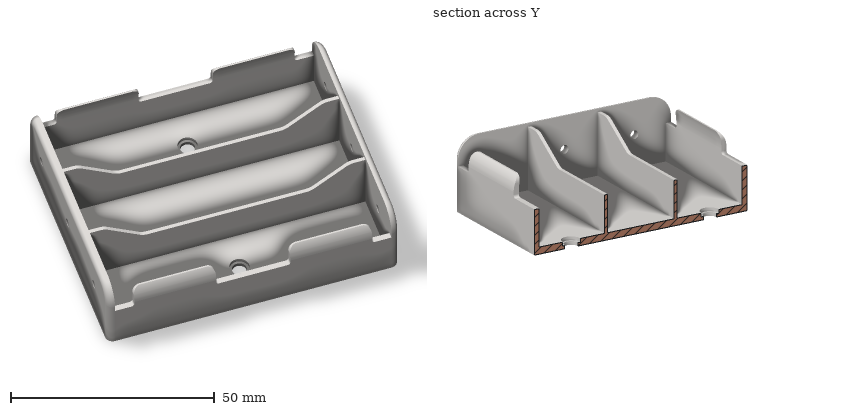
import cadquery as cq
import math

LENGTH = 75.6
WIDTH = 61.3
HEIGHT = 19.5
CORNER_RADIUS = 6.0
EDGE_RADIUS = 2.0

END_WALL = 2.0
SIDE_WALL = 1.5
FLOOR = 2.0
CAVITY_LENGTH = LENGTH - 2 * END_WALL
HALF_CAVITY_WIDTH = WIDTH / 2 - SIDE_WALL

RIM_HEIGHT = 12.0
TAB_HEIGHT = 17.7
TAB_INNER_END = 9.6
TAB_OUTER_END = 30.85
TAB_CORNER_RADIUS = 2.05
TAB_ROOT_RADIUS = 0.75
TAB_BEND_HEIGHT = HEIGHT - CORNER_RADIUS
TAB_INNER_LEAN = 0.6

DIVIDER_PITCH = 20.1
DIVIDER_THICKNESS = 1.0
DIVIDER_HIGH = 18.6
DIVIDER_LOW = RIM_HEIGHT
SLOPE_TOP = 31.8
SLOPE_BOTTOM = 21.7
SLOPE_BLEND_RADIUS = 3.8

TERMINAL_HOLE_DIAMETER = 2.3
TERMINAL_HOLE_HEIGHT = 10.65
SCREW_HOLE_DIAMETER = 3.7
SCREW_RECESS_DIAMETER = 5.0
SCREW_RECESS_DEPTH = FLOOR / 2
SCREW_HOLE_OFFSET = 19.95

TOLERANCE = 0.01


def extrude_along_y(profile, length):
    """Extrude an XZ profile to a length centred on Y = 0."""
    return profile.extrude(length / 2, both=True)


def make_outer_block():
    """Full block with rounded upper corners and rounded end faces."""
    block = cq.Workplane("XY").box(WIDTH, LENGTH, HEIGHT, centered=(True, True, False))
    block = block.edges("|Y and >Z").fillet(CORNER_RADIUS)
    rounded_edges = block.faces("<Y or >Y").edges().filter(lambda edge: edge.Center().z > TOLERANCE)
    return rounded_edges.fillet(EDGE_RADIUS)


def make_cavity():
    """Space between the walls, closing in between the leaning tabs."""
    rise = TAB_HEIGHT - TAB_BEND_HEIGHT
    radius = (rise**2 + TAB_INNER_LEAN**2) / (2 * TAB_INNER_LEAN)
    tab_top_x = HALF_CAVITY_WIDTH - TAB_INNER_LEAN
    half_rise_x = HALF_CAVITY_WIDTH - radius + math.sqrt(radius**2 - (rise / 2) ** 2)
    half_rise_z = TAB_BEND_HEIGHT + rise / 2
    profile = (
        cq.Workplane("XZ")
        .moveTo(-HALF_CAVITY_WIDTH, FLOOR)
        .lineTo(HALF_CAVITY_WIDTH, FLOOR)
        .lineTo(HALF_CAVITY_WIDTH, TAB_BEND_HEIGHT)
        .threePointArc((half_rise_x, half_rise_z), (tab_top_x, TAB_HEIGHT))
        .lineTo(tab_top_x, HEIGHT)
        .lineTo(-tab_top_x, HEIGHT)
        .lineTo(-tab_top_x, TAB_HEIGHT)
        .threePointArc((-half_rise_x, half_rise_z), (-HALF_CAVITY_WIDTH, TAB_BEND_HEIGHT))
        .close()
    )
    return extrude_along_y(profile, CAVITY_LENGTH)


def make_rim_cutter():
    """Material removed above the side walls, leaving the rounded tabs."""
    cutter = (
        cq.Workplane("XY", origin=(0, 0, RIM_HEIGHT))
        .box(WIDTH, CAVITY_LENGTH, HEIGHT - RIM_HEIGHT, centered=(True, True, False))
    )
    tab_centre = (TAB_INNER_END + TAB_OUTER_END) / 2
    tab_length = TAB_OUTER_END - TAB_INNER_END
    tabs = (
        cq.Workplane("XY", origin=(0, 0, RIM_HEIGHT))
        .pushPoints([(0, -tab_centre), (0, tab_centre)])
        .box(WIDTH, tab_length, TAB_HEIGHT - RIM_HEIGHT, centered=(True, True, False))
        .edges("|X and >Z")
        .fillet(TAB_CORNER_RADIUS)
    )
    cutter = cutter.cut(tabs)
    roots = cutter.faces("<Z").edges("|X").filter(
        lambda edge: abs(edge.Center().y) < TAB_OUTER_END + TOLERANCE
    )
    return roots.fillet(TAB_ROOT_RADIUS)


def make_divider(x):
    """Thin wall, high at both ends and low in the middle, with blended slopes."""
    half_length = CAVITY_LENGTH / 2
    outline = [
        (-half_length, FLOOR),
        (half_length, FLOOR),
        (half_length, DIVIDER_HIGH),
        (SLOPE_TOP, DIVIDER_HIGH),
        (SLOPE_BOTTOM, DIVIDER_LOW),
        (-SLOPE_BOTTOM, DIVIDER_LOW),
        (-SLOPE_TOP, DIVIDER_HIGH),
        (-half_length, DIVIDER_HIGH),
    ]
    wall = (
        cq.Workplane("YZ", origin=(x, 0, 0))
        .polyline(outline)
        .close()
        .extrude(DIVIDER_THICKNESS / 2, both=True)
    )
    slope_ends = wall.edges("|X").filter(
        lambda edge: edge.Center().z > FLOOR + TOLERANCE and abs(edge.Center().y) < SLOPE_TOP + TOLERANCE
    )
    return slope_ends.fillet(SLOPE_BLEND_RADIUS)


def make_terminal_holes():
    """One hole per bay, passing through both end walls."""
    profile = (
        cq.Workplane("XZ")
        .pushPoints([(bay * DIVIDER_PITCH, TERMINAL_HOLE_HEIGHT) for bay in (-1, 0, 1)])
        .circle(TERMINAL_HOLE_DIAMETER / 2)
    )
    return extrude_along_y(profile, LENGTH)


def make_screw_holes():
    """Floor holes in the outer bays, each with a shallow recess on the inside."""
    centres = [(-SCREW_HOLE_OFFSET, 0), (SCREW_HOLE_OFFSET, 0)]
    holes = cq.Workplane("XY").pushPoints(centres).circle(SCREW_HOLE_DIAMETER / 2).extrude(FLOOR)
    recesses = (
        cq.Workplane("XY", origin=(0, 0, FLOOR - SCREW_RECESS_DEPTH))
        .pushPoints(centres)
        .circle(SCREW_RECESS_DIAMETER / 2)
        .extrude(SCREW_RECESS_DEPTH)
    )
    return holes.union(recesses)


tray = make_outer_block().cut(make_cavity()).cut(make_rim_cutter())
for side in (-1, 1):
    tray = tray.union(make_divider(side * DIVIDER_PITCH / 2))

result = tray.cut(make_terminal_holes()).cut(make_screw_holes())